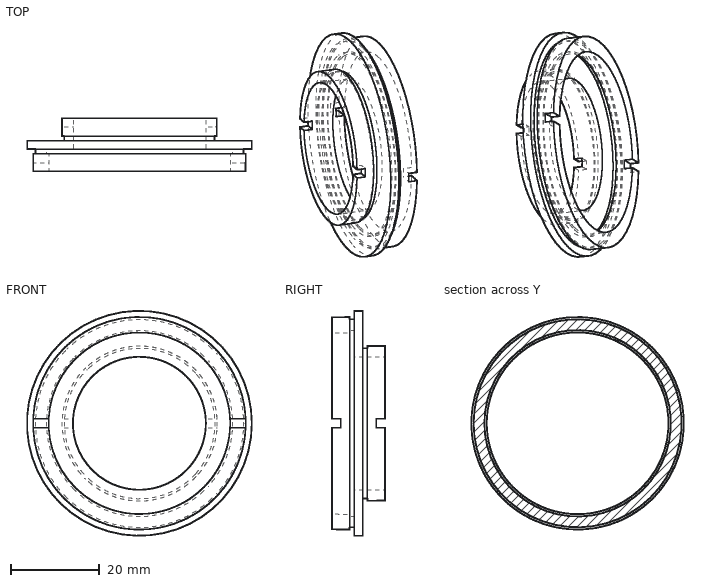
import cadquery as cq

collar_length = 4.0
relief_length = 1.0
flange_length = 1.95
total_length = 2 * (collar_length + relief_length) + flange_length

flange_diameter = 50.8
front_collar_diameter = 48.0
front_relief_diameter = 47.0
rear_relief_diameter = 34.0
rear_collar_diameter = 35.0
bore_diameter = 29.95
recess_diameter = 41.0
recess_depth = 5.0
undercut_diameter = 42.0
undercut_length = 0.95

slot_width = 2.0
slot_depth = 2.0


def disc(diameter, start, length):
    """Cylinder along +Y, beginning at the given distance from the front face."""
    return cq.Workplane("XZ", origin=(0, start, 0)).circle(diameter / 2).extrude(-length)


def end_slot(start):
    """Diametral slot along X, beginning at the given distance from the front face."""
    return (
        cq.Workplane("XY")
        .box(flange_diameter, slot_depth, slot_width, centered=(True, False, True))
        .translate((0, start, 0))
    )


steps = [
    (front_collar_diameter, collar_length),
    (front_relief_diameter, relief_length),
    (flange_diameter, flange_length),
    (rear_relief_diameter, relief_length),
    (rear_collar_diameter, collar_length),
]
body = cq.Workplane("XZ")
step_start = 0.0
for diameter, length in steps:
    body = body.union(disc(diameter, step_start, length))
    step_start += length

body = body.cut(disc(bore_diameter, 0, total_length))
body = body.cut(disc(recess_diameter, 0, recess_depth))

body = body.cut(disc(undercut_diameter, recess_depth - undercut_length, undercut_length))

for slot_start in (0, total_length - slot_depth):
    body = body.cut(end_slot(slot_start))

result = body